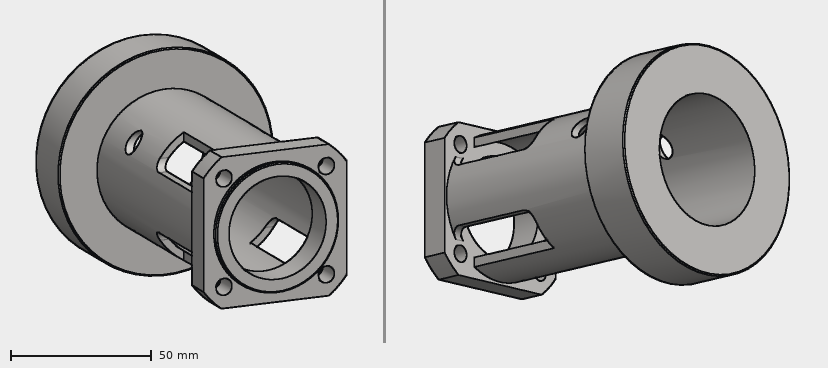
import cadquery as cq

flange_thickness = 20.0
tube_end_x = 104.0
plate_thickness = 10.0
pilot_length = 2.0
plate_end_x = tube_end_x + plate_thickness

flange_diameter = 84.0
tube_outer_diameter = 54.0
tube_bore_diameter = 48.0
plate_bore_diameter = 38.0
pilot_diameter = 48.0
edge_chamfer = 0.5

plate_width = 56.0
plate_corner_diameter = 70.0
mount_hole_diameter = 6.2
mount_hole_spacing = 40.0

cross_hole_diameter = 8.0
cross_hole_x = 41.0
cross_hole_z = 15.0

window_length = 40.0
window_inner_y = 13.0
window_inner_z = 11.1
window_corner_radius = 4.0
window_center_x = tube_end_x - window_length / 2
cutter_size = tube_outer_diameter / 2


def cylinder(diameter, start_x, length):
    """Solid cylinder on the X axis."""
    return cq.Workplane("YZ", origin=(start_x, 0, 0)).circle(diameter / 2).extrude(length)


def make_flange():
    return cylinder(flange_diameter, 0, flange_thickness).edges().chamfer(edge_chamfer)


def make_plate():
    """Square plate whose corners are turned down to a larger circle."""
    square = cq.Workplane("YZ", origin=(tube_end_x, 0, 0)).rect(plate_width, plate_width)
    corner_circle = cylinder(plate_corner_diameter, tube_end_x, plate_thickness)
    return square.extrude(plate_thickness).intersect(corner_circle)


def make_pilot():
    return cylinder(pilot_diameter, plate_end_x, pilot_length).faces(">X").edges().chamfer(edge_chamfer)


def make_window_cutter(y_side, z_side):
    """Block outside one quadrant's inner limits, rounded along its inner Z edge."""
    center = (
        window_center_x,
        y_side * (window_inner_y + cutter_size / 2),
        z_side * (window_inner_z + cutter_size / 2),
    )
    block = cq.Workplane("XY").box(window_length, cutter_size, cutter_size)
    inner_face = "<Z" if z_side > 0 else ">Z"
    return block.faces(inner_face).edges("|Y").fillet(window_corner_radius).translate(center)


def make_mount_holes():
    plane = cq.Workplane("YZ", origin=(tube_end_x, 0, 0))
    centers = plane.rect(mount_hole_spacing, mount_hole_spacing, forConstruction=True).vertices()
    return centers.circle(mount_hole_diameter / 2).extrude(plate_thickness)


def make_cross_hole():
    plane = cq.Workplane("XZ").center(cross_hole_x, cross_hole_z)
    return plane.circle(cross_hole_diameter / 2).extrude(tube_outer_diameter / 2, both=True)


tube = cylinder(tube_outer_diameter, 0, tube_end_x)
for y_side in (-1, 1):
    for z_side in (-1, 1):
        tube = tube.cut(make_window_cutter(y_side, z_side))
tube = tube.cut(make_cross_hole())

result = make_flange().union(tube).union(make_plate()).union(make_pilot())
result = result.cut(cylinder(tube_bore_diameter, 0, tube_end_x))
result = result.cut(cylinder(plate_bore_diameter, tube_end_x, plate_thickness + pilot_length))
result = result.cut(make_mount_holes())